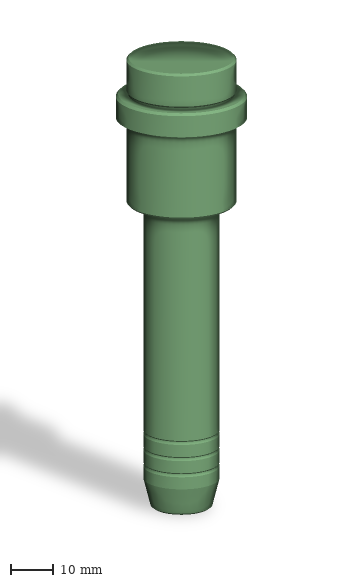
import cadquery as cq

length = 111.0
head_radius = 13.0
flange_radius = 31.0 / 2
shaft_radius = 9.0
tip_radius = 7.2

flange_top = 102.0
flange_bottom = 96.2
head_bottom = 75.0
taper_top = 7.0

head_chamfer = 0.5
flange_chamfer = 0.5
shaft_chamfer = 1.0
tip_chamfer = 0.4

relief_width = 1.0
relief_depth = 0.4

ring_count = 3
ring_pitch = 4.0
ring_width = 1.0
ring_depth = 0.3
lowest_ring_top = 11.0


def cylinder(radius, bottom, top):
    """Solid cylinder about Z between two heights."""
    return cq.Workplane("XY").workplane(offset=bottom).circle(radius).extrude(top - bottom)


def revolved(outline):
    """Solid turned about Z from (radius, height) points."""
    return cq.Workplane("XZ").polyline(outline).close().revolve(360, (0, 0, 0), (0, 1, 0))


def relief_groove(flange_face, direction):
    """Neck beside a flange face, sloping back out to the head; direction is +1 up or -1 down."""
    neck_radius = head_radius - relief_depth
    return revolved([
        (neck_radius, flange_face),
        (head_radius, flange_face),
        (head_radius, flange_face + direction * relief_width),
        (neck_radius, flange_face + direction * (relief_width - relief_depth)),
    ])


def ring_groove(top):
    """Groove with a steep upper wall and a long slope below it."""
    return revolved([
        (shaft_radius, top),
        (shaft_radius - ring_depth, top - ring_depth),
        (shaft_radius, top - ring_width),
    ])


head = cylinder(head_radius, head_bottom, length).edges().chamfer(head_chamfer)
head = head.cut(relief_groove(flange_top, 1))
head = head.cut(relief_groove(flange_bottom, -1))
flange = cylinder(flange_radius, flange_bottom, flange_top).faces(">Z").edges().chamfer(flange_chamfer)

shaft = cylinder(shaft_radius, taper_top, head_bottom).faces(">Z").edges().chamfer(shaft_chamfer)
for index in range(ring_count):
    shaft = shaft.cut(ring_groove(lowest_ring_top + index * ring_pitch))

tip = revolved([(0, 0), (tip_radius, 0), (shaft_radius, taper_top), (0, taper_top)])
tip = tip.faces("<Z").edges().chamfer(tip_chamfer)

result = head.union(flange).union(shaft).union(tip)